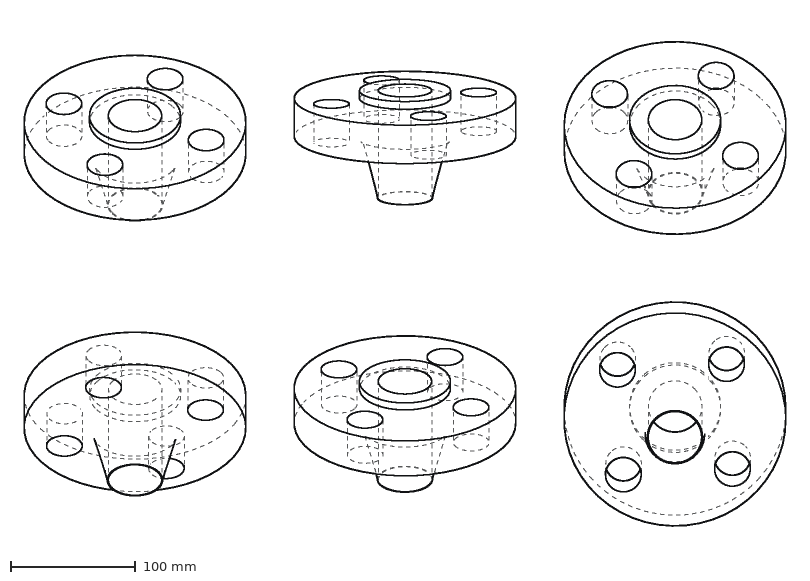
import cadquery as cq
import math

flange_diameter = 177.8
flange_thickness = 31.75
face_diameter = 73.0
face_height = 6.35

bolt_count = 4
bolt_circle_diameter = 123.8
bolt_hole_diameter = 28.6

total_height = 88.9
bore_diameter = 42.8
hub_base_diameter = 69.9
hub_end_diameter = 47.6
hub_fillet_radius = 9.4

lip_diameter = 44.3
lip_taper_height = 7.7
lip_taper_hollow = 0.2
land_height = 0.5

cone_bottom_z = lip_taper_height + land_height
flange_top_z = total_height - face_height
flange_bottom_z = flange_top_z - flange_thickness


def cylinder(diameter, bottom_z, height):
    """Upright cylinder on the part's axis."""
    return cq.Workplane("XY").workplane(offset=bottom_z).circle(diameter / 2).extrude(height)


def make_flange():
    """Bolting disc with the raised face on top."""
    disc = cylinder(flange_diameter, flange_bottom_z, flange_thickness)
    raised_face = cylinder(face_diameter, flange_top_z, face_height)
    return disc.union(raised_face)


def make_hub():
    """Cone that flares into the flange through a fillet and ends in the welding lip."""
    base_radius = hub_base_diameter / 2
    end_radius = hub_end_diameter / 2
    lip_radius = lip_diameter / 2

    cone_angle = math.atan2(base_radius - end_radius, flange_bottom_z - cone_bottom_z)
    tangent_length = hub_fillet_radius * math.tan((math.pi / 2 - cone_angle) / 2)
    fillet_center_x = base_radius + tangent_length
    fillet_center_z = flange_bottom_z - hub_fillet_radius

    def fillet_point(angle):
        return (
            fillet_center_x + hub_fillet_radius * math.cos(angle),
            fillet_center_z + hub_fillet_radius * math.sin(angle),
        )

    cone_tangent_angle = math.pi - cone_angle
    flange_tangent_angle = math.pi / 2
    middle_angle = (cone_tangent_angle + flange_tangent_angle) / 2

    lip_middle = ((lip_radius + end_radius) / 2 - lip_taper_hollow, lip_taper_height / 2)

    profile = (
        cq.Workplane("XZ")
        .lineTo(lip_radius, 0)
        .threePointArc(lip_middle, (end_radius, lip_taper_height))
        .lineTo(end_radius, cone_bottom_z)
        .lineTo(*fillet_point(cone_tangent_angle))
        .threePointArc(fillet_point(middle_angle), fillet_point(flange_tangent_angle))
        .lineTo(0, flange_bottom_z)
        .close()
    )
    return profile.revolve(360, (0, 0, 0), (0, 1, 0))


def make_bore():
    """Through bore along the axis."""
    return cylinder(bore_diameter, 0, total_height)


def make_bolt_holes():
    """Equally spaced through holes in the flange, the first one on +X."""
    return (
        cq.Workplane("XY")
        .workplane(offset=flange_bottom_z)
        .polarArray(bolt_circle_diameter / 2, 0, 360, bolt_count)
        .circle(bolt_hole_diameter / 2)
        .extrude(flange_thickness)
    )


result = make_flange().union(make_hub()).cut(make_bore()).cut(make_bolt_holes())